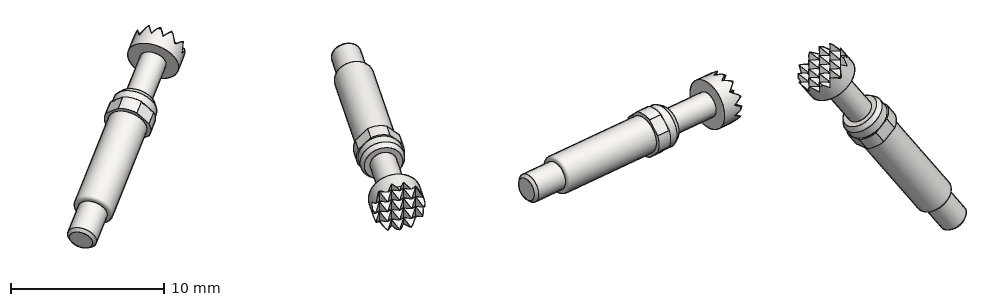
import cadquery as cq
import math

total_length = 17.1
tail_length = 2.5
barrel_length = 7.5
flange_length = 1.0
collar_length = 1.0
head_length = 1.6

tail_diameter = 2.0
barrel_diameter = 2.65
flange_diameter = 3.2
flange_across_flats = 2.98
flat_direction = 45.0
collar_diameter = 2.98
stem_diameter = 1.8
head_diameter = 3.5

tail_chamfer = 0.2
barrel_fillet = 0.2
collar_chamfer_depth = 0.2
collar_chamfer_angle = 30.0
collar_chamfer_length = collar_chamfer_depth / math.tan(math.radians(collar_chamfer_angle))

tooth_pitch = 0.8
teeth_across = 5
groove_angle = 60.0
groove_depth = tooth_pitch / 2 / math.tan(math.radians(groove_angle / 2))

barrel_start = tail_length
flange_start = barrel_start + barrel_length
collar_start = flange_start + flange_length
stem_start = collar_start + collar_length
head_start = total_length - head_length


def cylinder(diameter, start, end):
    """Round section on the Y axis between two positions."""
    plane = cq.Plane(origin=(0, start, 0), xDir=(1, 0, 0), normal=(0, 1, 0))
    return cq.Workplane(plane).circle(diameter / 2).extrude(end - start)


def make_tail():
    return cylinder(tail_diameter, 0, barrel_start).faces("<Y").chamfer(tail_chamfer)


def make_barrel():
    return cylinder(barrel_diameter, barrel_start, flange_start).faces("<Y").edges().fillet(barrel_fillet)


def make_flange():
    """Round flange with four wrench flats facing the diagonals."""
    flats = (
        cq.Workplane("XY")
        .box(flange_across_flats, flange_length, flange_across_flats)
        .rotate((0, 0, 0), (0, 1, 0), flat_direction)
        .translate((0, flange_start + flange_length / 2, 0))
    )
    return cylinder(flange_diameter, flange_start, collar_start).intersect(flats)


def make_collar():
    """Collar with a conical lead-in facing the head."""
    radius = collar_diameter / 2
    profile = (
        cq.Workplane("XY")
        .moveTo(0, collar_start)
        .lineTo(radius, collar_start)
        .lineTo(radius, stem_start - collar_chamfer_length)
        .lineTo(radius - collar_chamfer_depth, stem_start)
        .lineTo(0, stem_start)
        .close()
    )
    return profile.revolve(360, (0, 0, 0), (0, 1, 0))


def make_grooves():
    """Parallel V-grooves running along Z, one on either side of every row of teeth."""
    first_root = -teeth_across / 2 * tooth_pitch
    profile = cq.Workplane("XY").workplane(offset=-head_diameter)
    for index in range(teeth_across + 1):
        root = first_root + index * tooth_pitch
        profile = (
            profile.moveTo(root - tooth_pitch / 2, total_length)
            .lineTo(root, total_length - groove_depth)
            .lineTo(root + tooth_pitch / 2, total_length)
            .close()
        )
    return profile.extrude(2 * head_diameter)


def make_head():
    """Disc whose end face is cut into pyramid points by two crossing sets of grooves."""
    grooves = make_grooves()
    crossing_grooves = grooves.rotate((0, 0, 0), (0, 1, 0), 90)
    return cylinder(head_diameter, head_start, total_length).cut(grooves).cut(crossing_grooves)


stem = cylinder(stem_diameter, stem_start, head_start)

result = make_tail()
for section in (make_barrel(), make_flange(), make_collar(), stem, make_head()):
    result = result.union(section)